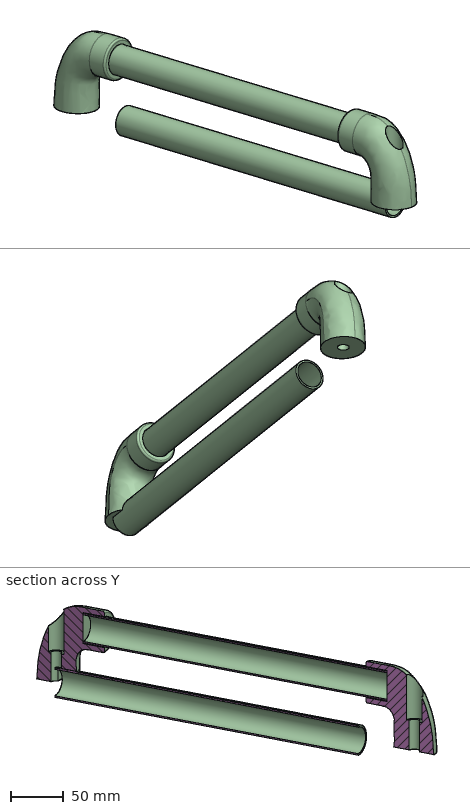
import cadquery as cq
import math

overall_length = 442.0
overall_height = 96.0

tube_diameter = 30.0
tube_bore_diameter = 26.0
tube_length = 337.5
loose_tube_center_x = 32.0

elbow_width = 42.0
foot_length = 44.5
elbow_length = 75.5
heel_curve_length = 48.0
crook_radius = 11.5
heel_angle_at_crook_start = 25.0
foot_steps = 2
bend_steps = 5
mouth_fillet = 2.0
socket_diameter = 30.5

screw_x = 199.5
screw_hole_diameter = 11.0
counterbore_diameter = 17.0
counterbore_floor_z = 30.0

foot_end_x = overall_length / 2
foot_inner_x = foot_end_x - foot_length
mouth_x = foot_end_x - elbow_length
elbow_top_z = overall_height - tube_diameter / 2
rail_axis_z = elbow_top_z - elbow_width / 2
neck_x = foot_inner_x - crook_radius
crook_center_z = rail_axis_z - elbow_width / 2 - crook_radius


def rod_along_x(diameter, length, center_x, center_z):
    """Solid round rod parallel to X."""
    start = cq.Vector(center_x - length / 2, 0, center_z)
    return cq.Workplane(cq.Solid.makeCylinder(diameter / 2, length, start, cq.Vector(1, 0, 0)))


def make_tube(center_x, center_z):
    """Open tube parallel to X."""
    outside = rod_along_x(tube_diameter, tube_length, center_x, center_z)
    return outside.cut(rod_along_x(tube_bore_diameter, tube_length, center_x, center_z))


def heel_point(angle):
    """Point on the elliptical outer curve, from the foot (0 degrees) to the top (90 degrees)."""
    x = foot_end_x - heel_curve_length * (1 - math.cos(math.radians(angle)))
    return cq.Vector(x, 0, elbow_top_z * math.sin(math.radians(angle)))


def crook_point(angle):
    """Point on the round inner corner, from the foot side (0 degrees) to the neck (90 degrees)."""
    x = neck_x + crook_radius * math.cos(math.radians(angle))
    return cq.Vector(x, 0, crook_center_z + crook_radius * math.sin(math.radians(angle)))


def bend_section(heel, crook):
    """Ellipse of the full elbow width that spans from the inner curve to the outer curve."""
    span = heel - crook
    sideways = cq.Vector(0, 1, 0)
    middle = (heel + crook) * 0.5
    normal = sideways.cross(span)
    edge = cq.Edge.makeEllipse(elbow_width / 2, span.Length / 2, middle, normal, xdir=sideways)
    return cq.Wire.assembleEdges([edge])


def make_bend():
    """Loft that starts below the foot face and is trimmed flat there."""
    sections = []
    for step in range(-foot_steps, foot_steps):
        fraction = step / foot_steps
        crook = cq.Vector(foot_inner_x, 0, crook_center_z * fraction)
        sections.append(bend_section(heel_point(heel_angle_at_crook_start * fraction), crook))
    for step in range(bend_steps + 1):
        fraction = step / bend_steps
        heel_angle = heel_angle_at_crook_start + (90 - heel_angle_at_crook_start) * fraction
        sections.append(bend_section(heel_point(heel_angle), crook_point(90 * fraction)))
    sections.append(bend_section(cq.Vector(neck_x, 0, elbow_top_z), crook_point(90)))
    bend = cq.Workplane(cq.Solid.makeLoft(sections))
    below_foot = cq.Workplane().rect(2 * overall_length, 2 * elbow_width).extrude(-elbow_top_z)
    return bend.cut(below_foot)


def make_neck():
    """Straight round end, rounded at the mouth where the rail enters."""
    length = neck_x - mouth_x
    neck = rod_along_x(elbow_width, length, mouth_x + length / 2, rail_axis_z)
    return neck.faces("<X").edges().fillet(mouth_fillet)


def make_screw_hole():
    """Through hole with a counterbore that opens upwards through the bend."""
    hole = cq.Workplane().center(screw_x, 0).circle(screw_hole_diameter / 2).extrude(elbow_top_z)
    counterbore = (
        cq.Workplane(origin=(screw_x, 0, counterbore_floor_z))
        .circle(counterbore_diameter / 2)
        .extrude(elbow_top_z - counterbore_floor_z)
    )
    return hole.union(counterbore)


def make_right_elbow():
    rail_socket = rod_along_x(socket_diameter, tube_length, 0, rail_axis_z)
    return make_bend().union(make_neck()).cut(make_screw_hole()).cut(rail_socket)


right_elbow = make_right_elbow()
left_elbow = right_elbow.mirror("YZ")
loose_tube_groove = rod_along_x(tube_diameter, tube_length, loose_tube_center_x, 0)
right_elbow = right_elbow.cut(loose_tube_groove)

tubes = []
for center_x, center_z in [(0, rail_axis_z), (loose_tube_center_x, 0)]:
    tubes.append(make_tube(center_x, center_z).val())

result = cq.Compound.makeCompound([left_elbow.val(), right_elbow.val(), *tubes])